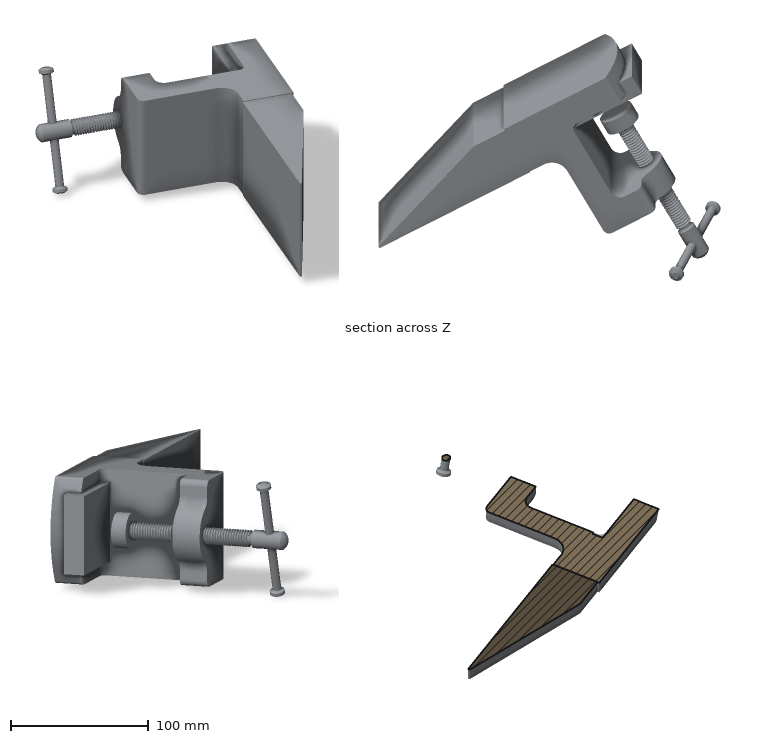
import cadquery as cq
import math


frame_height = 78.8
half_height = frame_height / 2
upper_arm_depth = 21.6
web_inner_x = 25.5
web_outer_x = 45
horn_seat_x = 69.3
horn_seat_depth = 38.5
lower_arm_inner_y = -89.1
lower_arm_outer_y = -110.1
throat_upper_radius = 4.7
throat_lower_radius = 7.5
outer_concave_radius = 12.7
outer_corner_radius = 4.9
upper_end_x = -24.9
upper_end_radius = 80
upper_end_fillet = 3

nose_x = -12.1
nose_radius = 22
nose_blend_radius = 9
lower_end_x = 4.6
lower_end_fillet = 4.7
envelope_split_y = lower_arm_inner_y + throat_lower_radius

plate_left_x = -30.1
plate_front_y = -27.7
plate_height = 58.5
hook_back_y = -12.1
hook_thickness = 10.2
seat_height = 60.1
seat_front_y = -29.2
seat_depth = 0.5
web_recess_depth = 1.5
hook_inner_x = plate_left_x + hook_thickness

horn_length = 124.65
horn_flat_length = 25.9
horn_back_y = -1.4
horn_front_y = -39.1
horn_tip_thickness = 1.5
horn_height = 78.2

pad_diameter = 26
pad_front_y = -42.4
pad_thickness = 11.1
thread_diameter = 12.5
thread_root_diameter = 10
thread_pitch = 2
thread_root_width = 1.8
thread_crest_width = 0.4
thread_root_overlap = 0.3
thread_end_y = -146.1
thread_bore_clearance = 0.1
barrel_start_y = -147.8
shoulder_height = 1.3
shoulder_diameter = 12.4
barrel_end_y = -170.1
barrel_diameter = 13.4
screw_end_y = -173.71

handle_y = -160.4
handle_tilt = 20
handle_diameter = 6.4
handle_length = 93.28
handle_shift = 0.7
handle_end_chamfer = 0.7
cap_diameter = 10.9
cap_thickness = 4.9
cap_chamfer_height = 1.2


def block(x_range, y_range, z_range):
    """Box between the given limits on each axis."""
    size = [high - low for low, high in (x_range, y_range, z_range)]
    corner = (x_range[0], y_range[0], z_range[0])
    return cq.Workplane("XY").box(*size, centered=False).translate(corner)


def cylinder_along_y(diameter, start_y, end_y):
    """Cylinder on the screw axis running from start_y toward -Y."""
    return cq.Workplane("XZ", origin=(0, start_y, 0)).circle(diameter / 2).extrude(start_y - end_y)


def frame_profile():
    """C-shaped outline in X and Y, extruded over the full frame height."""
    profile = (
        cq.Workplane("XY", origin=(0, 0, -half_height))
        .moveTo(upper_end_x, 0)
        .lineTo(horn_seat_x, 0)
        .lineTo(horn_seat_x, -horn_seat_depth)
        .lineTo(web_outer_x, -horn_seat_depth)
        .lineTo(web_outer_x, lower_arm_outer_y)
        .lineTo(nose_x, lower_arm_outer_y)
        .lineTo(nose_x, lower_arm_inner_y)
        .lineTo(web_inner_x, lower_arm_inner_y)
        .lineTo(web_inner_x, -upper_arm_depth)
        .lineTo(upper_end_x, -upper_arm_depth)
        .close()
        .extrude(frame_height)
    )
    corners = (
        (web_outer_x, -horn_seat_depth, outer_concave_radius),
        (web_outer_x, lower_arm_outer_y, outer_corner_radius),
        (web_inner_x, lower_arm_inner_y, throat_lower_radius),
        (web_inner_x, -upper_arm_depth, throat_upper_radius),
    )
    for x, y, radius in corners:
        profile = profile.edges(cq.NearestToPointSelector((x, y, 0))).fillet(radius)
    return profile


def upper_arm_envelope():
    """Bowed end of the upper arm, extended in +X past the whole frame."""
    end_drop = upper_end_radius - math.sqrt(upper_end_radius**2 - half_height**2)
    corner_x = upper_end_x + end_drop
    return (
        cq.Workplane("XZ")
        .moveTo(horn_seat_x, half_height)
        .lineTo(corner_x, half_height)
        .threePointArc((upper_end_x, 0), (corner_x, -half_height))
        .lineTo(horn_seat_x, -half_height)
        .close()
        .extrude(-envelope_split_y)
        .edges("|Y")
        .edges("<X")
        .fillet(upper_end_fillet)
    )


def lower_arm_envelope():
    """Rounded nose of the lower arm with blends into its straight end face."""
    nose_center_x = nose_x + nose_radius
    blend_center_x = lower_end_x - nose_blend_radius
    center_distance = nose_radius + nose_blend_radius
    center_offset_x = nose_center_x - blend_center_x
    blend_z = math.sqrt(center_distance**2 - center_offset_x**2)
    nose_share = nose_radius / center_distance
    tangent_x = nose_center_x - center_offset_x * nose_share
    tangent_z = blend_z * nose_share
    blend_angle = math.atan2(blend_z, center_offset_x) / 2
    blend_mid_x = blend_center_x + nose_blend_radius * math.cos(blend_angle)
    blend_mid_z = blend_z - nose_blend_radius * math.sin(blend_angle)
    mid_y = (envelope_split_y + lower_arm_outer_y) / 2
    upper_corner = cq.NearestToPointSelector((lower_end_x, mid_y, half_height))
    lower_corner = cq.NearestToPointSelector((lower_end_x, mid_y, -half_height))
    return (
        cq.Workplane("XZ", origin=(0, envelope_split_y, 0))
        .moveTo(horn_seat_x, half_height)
        .lineTo(lower_end_x, half_height)
        .lineTo(lower_end_x, blend_z)
        .threePointArc((blend_mid_x, blend_mid_z), (tangent_x, tangent_z))
        .threePointArc((nose_x, 0), (tangent_x, -tangent_z))
        .threePointArc((blend_mid_x, -blend_mid_z), (lower_end_x, -blend_z))
        .lineTo(lower_end_x, -half_height)
        .lineTo(horn_seat_x, -half_height)
        .close()
        .extrude(envelope_split_y - lower_arm_outer_y)
        .edges("|Y")
        .edges(upper_corner + lower_corner)
        .fillet(lower_end_fillet)
    )


def hooked_plate(front_y, height):
    """L-shape seated in the arm face and the web, with a hook over the arm end."""
    z_range = (-height / 2, height / 2)
    flat = block(
        (plate_left_x, web_inner_x + web_recess_depth),
        (front_y, -upper_arm_depth + seat_depth),
        z_range,
    )
    hook = block((plate_left_x, hook_inner_x), (front_y, hook_back_y), z_range)
    return flat.union(hook)


def make_frame():
    envelope = upper_arm_envelope().union(lower_arm_envelope())
    bore_diameter = thread_diameter + 2 * thread_bore_clearance
    bore = cylinder_along_y(bore_diameter, lower_arm_inner_y, lower_arm_outer_y)
    plate_seat = hooked_plate(seat_front_y, seat_height)
    return frame_profile().intersect(envelope).cut(plate_seat).cut(bore)


def make_horn():
    """Wedge that tapers to a thin edge at its front face."""
    tip_x = horn_seat_x + horn_length
    return (
        cq.Workplane("XY", origin=(0, 0, -half_height))
        .moveTo(horn_seat_x, horn_front_y)
        .lineTo(tip_x, horn_front_y)
        .lineTo(tip_x, horn_front_y + horn_tip_thickness)
        .lineTo(horn_seat_x + horn_flat_length, horn_back_y)
        .lineTo(horn_seat_x, horn_back_y)
        .close()
        .extrude(horn_height)
    )


def thread_ridge(start_y, end_y):
    """Right-handed helical ridge of trapezoidal section on the screw core."""
    buried_radius = thread_root_diameter / 2 - thread_root_overlap
    crest_radius = thread_diameter / 2
    height = start_y - end_y - thread_root_width
    path = cq.Workplane(cq.Wire.makeHelix(thread_pitch, height, buried_radius))
    ridge = (
        cq.Workplane("XZ")
        .polyline([
            (buried_radius, -thread_root_width / 2),
            (crest_radius, -thread_crest_width / 2),
            (crest_radius, thread_crest_width / 2),
            (buried_radius, thread_root_width / 2),
        ])
        .close()
        .sweep(path, isFrenet=True)
    )
    return ridge.rotate((0, 0, 0), (1, 0, 0), 90).translate((0, start_y - thread_root_width / 2, 0))


def shoulder():
    """Cone that widens from the screw core to just inside the barrel edge."""
    return (
        cq.Workplane("XZ", origin=(0, barrel_start_y + shoulder_height, 0))
        .circle(thread_root_diameter / 2)
        .workplane(offset=shoulder_height)
        .circle(shoulder_diameter / 2)
        .loft()
    )


def dome():
    """Spherical cap on the outer end of the barrel."""
    barrel_radius = barrel_diameter / 2
    height = barrel_end_y - screw_end_y
    sphere_radius = (barrel_radius**2 + height**2) / (2 * height)
    ball = cq.Workplane("XY").sphere(sphere_radius).translate((0, screw_end_y + sphere_radius, 0))
    return ball.intersect(cylinder_along_y(barrel_diameter, barrel_end_y, screw_end_y))


def place_on_handle(shape):
    """Move a shape built along Z at the origin onto the tilted handle axis."""
    centered = shape.translate((0, 0, handle_shift))
    return centered.rotate((0, 0, 0), (0, 1, 0), -handle_tilt).translate((0, handle_y, 0))


def rod_blank():
    return cq.Workplane("XY").circle(handle_diameter / 2).extrude(handle_length / 2, both=True)


def make_screw():
    """Pressure pad, threaded shank and cross-drilled barrel in one piece."""
    pad_back_y = pad_front_y - pad_thickness
    core = cylinder_along_y(thread_root_diameter, pad_back_y, barrel_start_y)
    return (
        core.union(thread_ridge(pad_back_y, thread_end_y))
        .union(cylinder_along_y(pad_diameter, pad_front_y, pad_back_y))
        .union(shoulder())
        .union(cylinder_along_y(barrel_diameter, barrel_start_y, barrel_end_y))
        .union(dome())
        .cut(place_on_handle(rod_blank()))
    )


def make_handle_rod():
    return place_on_handle(rod_blank().faces("<Z or >Z").chamfer(handle_end_chamfer))


def make_handle_cap(end):
    """Ring with both faces coned; end is +1 for the upper and -1 for the lower end."""
    outer = cap_diameter / 2
    bore = handle_diameter / 2
    half = cap_thickness / 2
    rim_half = half - cap_chamfer_height
    cap = (
        cq.Workplane("XZ")
        .polyline([
            (bore, -half),
            (outer, -rim_half),
            (outer, rim_half),
            (bore, half),
        ])
        .close()
        .revolve(360, (0, 0, 0), (0, 1, 0))
    )
    center = end * (handle_length - cap_thickness) / 2
    return place_on_handle(cap.translate((0, 0, center)))


frame = make_frame()
jaw_plate = hooked_plate(plate_front_y, plate_height)
horn = make_horn()
screw = make_screw()
handle_rod = make_handle_rod()
handle_caps = [make_handle_cap(end) for end in (1, -1)]

result = cq.Compound.makeCompound([
    frame.val(),
    jaw_plate.val(),
    horn.val(),
    screw.val(),
    handle_rod.val(),
    *[cap.val() for cap in handle_caps],
])